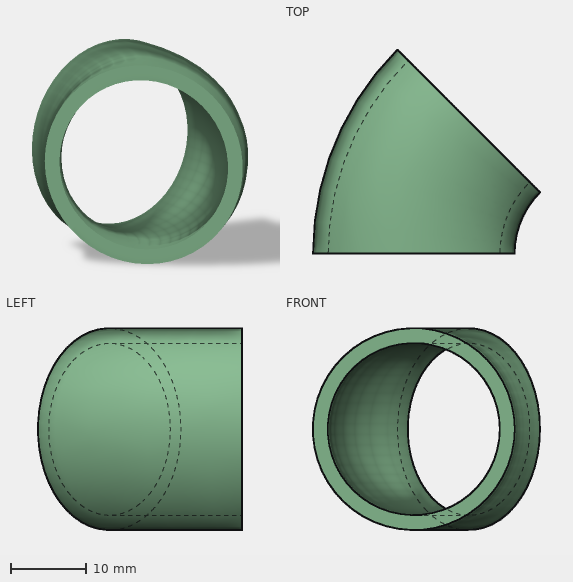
import cadquery as cq

outer_diameter = 26.9
wall_thickness = 2.0
bend_radius = 25.0
bend_angle = 45.0

inner_diameter = outer_diameter - 2 * wall_thickness


def make_elbow():
    """Sweep the pipe section from the XZ plane toward +Y, bending to +X."""
    section = (
        cq.Workplane("XZ")
        .circle(outer_diameter / 2)
        .circle(inner_diameter / 2)
    )
    axis_start = (bend_radius, 0)
    axis_end = (bend_radius, -1)
    return section.revolve(bend_angle, axis_start, axis_end)


result = make_elbow()